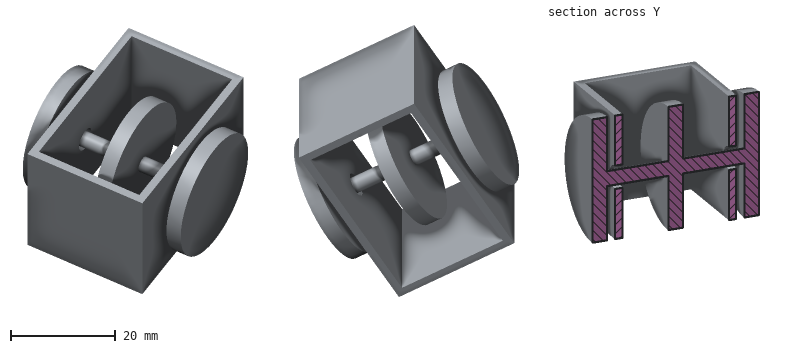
import cadquery as cq

frame_length = 38.1
frame_width = 25.4
frame_height = 25.4
wall = 1.6
axle_hole_diameter = 4.7

axle_diameter = 3.15
wheel_diameter = frame_height
wheel_thickness = 3.15
wheel_gap = 1.6

outer_wheel_x = frame_width / 2 + wheel_gap + wheel_thickness / 2
axle_length = 2 * outer_wheel_x


def cylinder_along_x(diameter, length, center_x=0):
    """Cylinder on the X axis, centered at center_x."""
    return (
        cq.Workplane("YZ", origin=(center_x - length / 2, 0, 0))
        .circle(diameter / 2)
        .extrude(length)
    )


def make_frame():
    """Four walls, with an axle clearance hole through each side wall."""
    outside = cq.Workplane("XY").box(frame_width, frame_length, frame_height)
    opening = cq.Workplane("XY").box(
        frame_width - 2 * wall, frame_length - 2 * wall, frame_height
    )
    axle_holes = cylinder_along_x(axle_hole_diameter, frame_width)
    return outside.cut(opening).cut(axle_holes)


def make_wheel_set():
    """Axle and its three wheels as one solid."""
    wheel_set = cylinder_along_x(axle_diameter, axle_length)
    for wheel_x in (-outer_wheel_x, 0, outer_wheel_x):
        wheel = cylinder_along_x(wheel_diameter, wheel_thickness, wheel_x)
        wheel_set = wheel_set.union(wheel)
    return wheel_set


frame = make_frame()
wheel_set = make_wheel_set()

result = cq.Compound.makeCompound([frame.val(), wheel_set.val()])